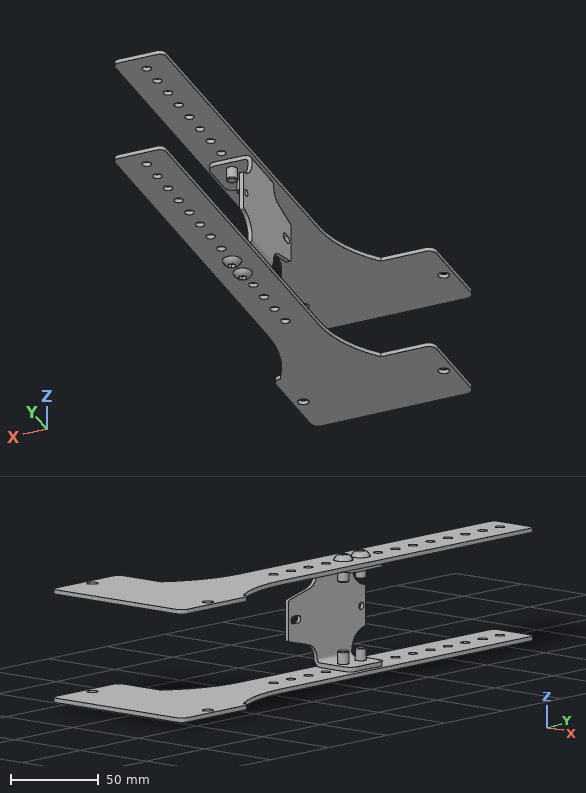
import cadquery as cq
import math

overall_width = 100.0
overall_length = 324.86
overall_height = 72.01

head_height = 3.35
head_diameter = 11.1
socket_across_flats = 3.97
socket_corner_diameter = socket_across_flats / math.cos(math.pi / 6)
socket_depth = 2.0
shank_diameter = 6.35
shank_length = 12.7
shank_tip_chamfer = 0.6

plate_thickness = 2.655
plate_outer_z = overall_height / 2 - head_height
plate_inner_z = plate_outer_z - plate_thickness
base_height = 58.5
base_corner_radius = 5.0
strap_width = 31.75
strap_left_x = overall_width / 2
strap_right_x = strap_left_x + strap_width
strap_center_x = strap_left_x + strap_width / 2
strap_corner_radius = 4.0
flare_start_y = 106.0
flare_left_x = 32.5
flare_right_x = overall_width - base_corner_radius

hole_count = 14
hole_pitch = 15.0
hole_diameter = 5.2
last_hole_to_end = 12.5
first_hole_y = overall_length - last_hole_to_end - (hole_count - 1) * hole_pitch
row_ys = [first_hole_y + i * hole_pitch for i in range(hole_count)]
screw_ys = row_ys[4:6]

mount_hole_diameter = 6.35
mount_hole_edge_distance = 6.35
mount_hole_y = base_height / 2

bracket_center_y = sum(screw_ys) / len(screw_ys)
sheet_thickness = plate_thickness
bend_outer_radius = 5.0
bracket_left_x = strap_left_x
flange_length = 28.3
flange_width = 30.0
flange_corner_radius = 5.0
web_half_height = plate_inner_z - bend_outer_radius

rear_reach = 27.0
rear_half_height = 12.0
front_reach = 39.5
front_half_height = 12.0
front_taper = math.radians(13.5)
front_corner_radius = 1.5
rear_corner_radius = 0.8
wing_hole_offset = 23.2
wing_hole_diameter = 4.0
wing_slot_offset = 33.2
wing_slot_length = 8.2
wing_slot_width = 4.2


def tangent_radius(start, end):
    """Radius of the arc that leaves the start point along the second axis and reaches the end point."""
    return math.dist(start, end) ** 2 / (2 * abs(end[0] - start[0]))


def make_plate():
    """Upper plate: a wide base flaring into a long perforated strap."""
    left_start = (strap_left_x, flare_start_y)
    left_end = (flare_left_x, base_height)
    right_start = (strap_right_x, flare_start_y)
    right_end = (flare_right_x, base_height)

    outline = cq.Workplane("XY", origin=(0, 0, plate_inner_z))
    outline = outline.moveTo(0, 0).lineTo(overall_width, 0)
    outline = outline.lineTo(overall_width, base_height - base_corner_radius)
    outline = outline.radiusArc(right_end, -base_corner_radius)
    outline = outline.radiusArc(right_start, tangent_radius(right_start, right_end))
    outline = outline.lineTo(strap_right_x, overall_length).lineTo(strap_left_x, overall_length)
    outline = outline.lineTo(*left_start)
    outline = outline.radiusArc(left_end, tangent_radius(left_start, left_end))
    outline = outline.lineTo(0, base_height).close()
    plate = outline.extrude(plate_thickness)
    plate = plate.edges("|Z and (<X or (>X and <Y))").fillet(base_corner_radius)
    plate = plate.edges("|Z and >Y").fillet(strap_corner_radius)

    mount_xs = (mount_hole_edge_distance, overall_width - mount_hole_edge_distance)
    cutters = cq.Workplane("XY", origin=(0, 0, plate_inner_z))
    row = cutters.pushPoints([(strap_center_x, y) for y in row_ys])
    plate = plate.cut(row.circle(hole_diameter / 2).extrude(plate_thickness))
    mounts = cutters.pushPoints([(x, mount_hole_y) for x in mount_xs])
    return plate.cut(mounts.circle(mount_hole_diameter / 2).extrude(plate_thickness))


def make_screw(y):
    """Upper button head screw with its shank pointing down."""
    tip_z = plate_outer_z - shank_length
    head_radius = head_diameter / 2
    crown_radius = socket_corner_diameter / 2
    dome_center_drop = (head_radius**2 - crown_radius**2 - head_height**2) / (2 * head_height)
    dome_radius = math.hypot(head_radius, dome_center_drop)
    head = cq.Workplane("XZ", origin=(strap_center_x, y, plate_outer_z)).lineTo(head_radius, 0)
    head = head.radiusArc((crown_radius, head_height), -dome_radius)
    head = head.lineTo(0, head_height).close().revolve(360, (0, 0, 0), (0, 1, 0))

    shank = cq.Workplane("XY", origin=(strap_center_x, y, tip_z))
    shank = shank.circle(shank_diameter / 2).extrude(shank_length)
    shank = shank.faces("<Z").chamfer(shank_tip_chamfer)

    socket = cq.Workplane("XY", origin=(strap_center_x, y, overall_height / 2))
    socket = socket.polygon(6, socket_corner_diameter).extrude(-socket_depth)
    return head.union(shank).cut(socket)


def make_web():
    """Flat web of the bracket with its two wings, parallel to the YZ plane."""
    half_width = flange_width / 2
    slope = math.tan(front_taper)
    side_run = 1 - math.sin(front_taper)
    front_rise = web_half_height - front_half_height - (front_reach - half_width) * slope
    front_scoop_radius = front_rise / (math.cos(front_taper) - side_run * slope)
    taper_start_y = -half_width - front_scoop_radius * side_run
    taper_start_z = front_half_height + (front_reach + taper_start_y) * slope
    rear_root = (half_width, web_half_height)
    rear_tip = (rear_reach, rear_half_height)
    rear_scoop_radius = tangent_radius(rear_root, rear_tip)

    web = cq.Workplane("YZ", origin=(bracket_left_x, bracket_center_y, 0))
    web = web.moveTo(-front_reach, -front_half_height).lineTo(-front_reach, front_half_height)
    web = web.lineTo(taper_start_y, taper_start_z)
    web = web.radiusArc((-half_width, web_half_height), -front_scoop_radius)
    web = web.lineTo(*rear_root).radiusArc(rear_tip, -rear_scoop_radius)
    web = web.lineTo(rear_reach, -rear_half_height)
    web = web.radiusArc((half_width, -web_half_height), -rear_scoop_radius)
    web = web.lineTo(-half_width, -web_half_height)
    web = web.radiusArc((taper_start_y, -taper_start_z), -front_scoop_radius)
    web = web.close().extrude(sheet_thickness)
    web = web.edges("|X and <Y").fillet(front_corner_radius)
    web = web.edges("|X and >Y").fillet(rear_corner_radius)

    cutters = cq.Workplane("YZ", origin=(bracket_left_x, bracket_center_y, 0))
    hole = cutters.pushPoints([(wing_hole_offset, 0)]).circle(wing_hole_diameter / 2)
    web = web.cut(hole.extrude(sheet_thickness))
    slot = cutters.pushPoints([(-wing_slot_offset, 0)]).slot2D(wing_slot_length, wing_slot_width)
    return web.cut(slot.extrude(sheet_thickness))


def make_flange():
    """Upper bend and flange of the bracket."""
    bend_inner_radius = bend_outer_radius - sheet_thickness
    bend_end_x = bracket_left_x + bend_outer_radius
    flange_end_x = bracket_left_x + flange_length
    flange_lower_z = plate_inner_z - sheet_thickness
    web_inner_x = bracket_left_x + sheet_thickness

    profile = cq.Workplane("XZ", origin=(0, bracket_center_y, 0))
    profile = profile.moveTo(bracket_left_x, web_half_height)
    profile = profile.radiusArc((bend_end_x, plate_inner_z), bend_outer_radius)
    profile = profile.lineTo(flange_end_x, plate_inner_z).lineTo(flange_end_x, flange_lower_z)
    profile = profile.lineTo(bend_end_x, flange_lower_z)
    profile = profile.radiusArc((web_inner_x, web_half_height), -bend_inner_radius)
    flange = profile.close().extrude(flange_width / 2, both=True)
    return flange.edges("|Z and >X").fillet(flange_corner_radius)


upper_half = make_plate().union(make_flange())
for screw_y in screw_ys:
    upper_half = upper_half.union(make_screw(screw_y))
lower_half = upper_half.mirror("XY")

result = make_web().union(upper_half).union(lower_half)